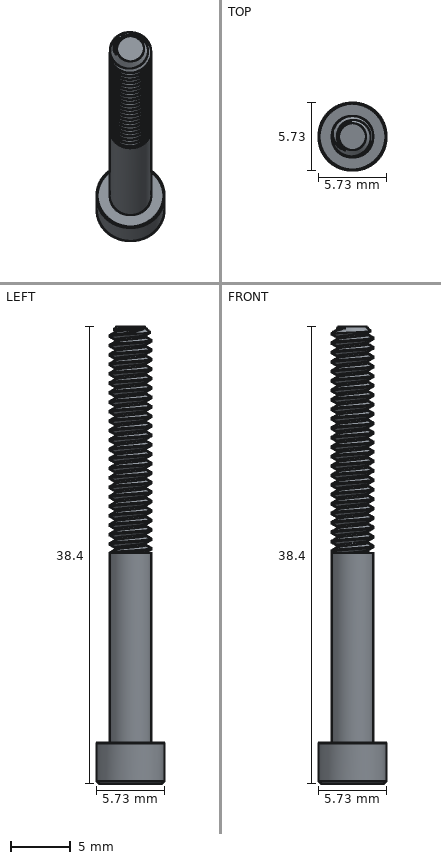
import cadquery as cq
import math

total_length = 38.43
head_diameter = 5.73
head_height = 3.5
head_bottom_chamfer = 0.25
head_top_chamfer = 0.095
shank_diameter = 3.5
thread_start = 19.4

counted_turns = 15
counted_turns_length = 11.9
pitch = counted_turns_length / counted_turns
flank_half_angle = math.radians(30)
crest_width = pitch / 8
root_diameter = 2.6
first_crest = thread_start + 0.55
ridge_seat = 0.05
lead_in_turns = 2
crest_clearance = 0.1

tip_diameter = 2.25
tip_half_angle = math.radians(45)

head_radius = head_diameter / 2
shank_radius = shank_diameter / 2
root_radius = root_diameter / 2
tip_radius = tip_diameter / 2


def make_head():
    head = cq.Workplane("XY").circle(head_radius).extrude(head_height)
    head = head.faces("<Z").chamfer(head_bottom_chamfer)
    return head.faces(">Z").chamfer(head_top_chamfer)


def make_shank():
    return cq.Workplane("XY").circle(shank_radius).extrude(thread_start)


def make_core():
    """Rod at the root diameter of the thread."""
    return (
        cq.Workplane("XY", origin=(0, 0, thread_start))
        .circle(root_radius)
        .extrude(total_length - thread_start)
    )


def make_ridge():
    """Helical ridge that starts below the thread and runs out past the tip."""
    base_radius = root_radius - ridge_seat
    crest_half = crest_width / 2
    base_half = crest_half + (shank_radius - base_radius) * math.tan(flank_half_angle)
    start = first_crest - lead_in_turns * pitch
    turns = math.ceil((total_length - start) / pitch) + 1
    helix = cq.Wire.makeHelix(pitch, turns * pitch, base_radius, cq.Vector(0, 0, start))
    section = [
        (base_radius, start - base_half),
        (shank_radius, start - crest_half),
        (shank_radius, start + crest_half),
        (base_radius, start + base_half),
    ]
    return cq.Workplane("XZ").polyline(section).close().sweep(cq.Workplane(helix), isFrenet=True)


def make_thread_envelope():
    """Space the thread may fill: flat at the shank, clear of the crests, conical at the tip."""
    outer_radius = shank_radius + crest_clearance
    point_height = (outer_radius - tip_radius) / math.tan(tip_half_angle)
    outline = [
        (0, thread_start),
        (outer_radius, thread_start),
        (outer_radius, total_length - point_height),
        (tip_radius, total_length),
        (0, total_length),
    ]
    return cq.Workplane("XZ").polyline(outline).close().revolve(360, (0, 0, 0), (0, 1, 0))


def make_thread():
    envelope = make_thread_envelope()
    return make_ridge().intersect(envelope).union(make_core().intersect(envelope))


result = make_head().union(make_shank()).union(make_thread())